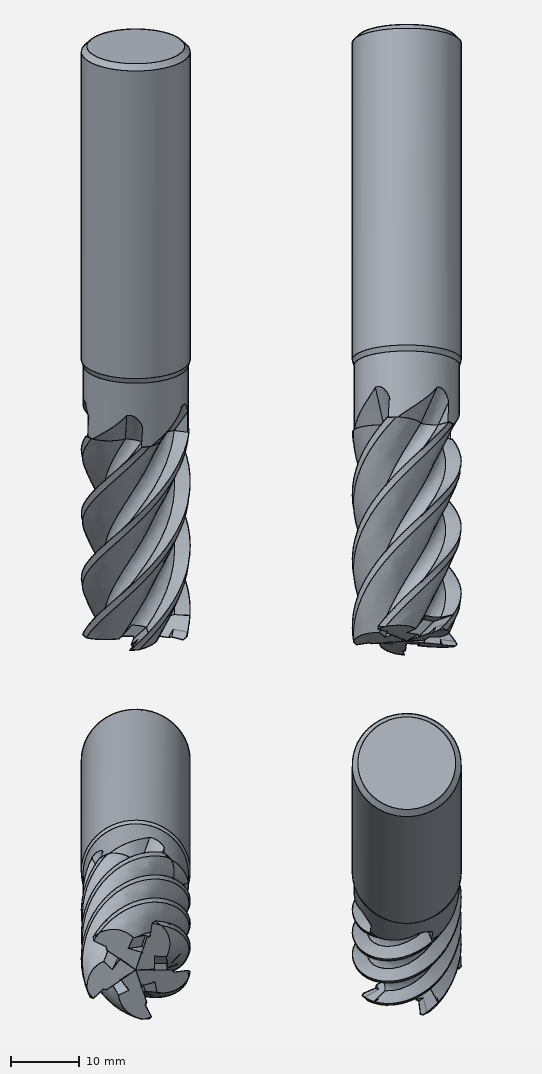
import cadquery as cq
import math

TOTAL_LENGTH = 92
DIAMETER = 16.0
RADIUS = DIAMETER / 2
CUT_LENGTH = 32.0
CLEARANCE = 1.8

SHANK_CHAMFER = 0.8
NECK_RADIUS = 7.7
NECK_TOP = 42.0
NECK_TAPER_LENGTH = 0.8

FLUTE_COUNT = 5
FLUTE_PITCH = 360 / FLUTE_COUNT
HELIX_ANGLE = 45
LEAD = math.pi * DIAMETER / math.tan(math.radians(HELIX_ANGLE))
TWIST = 360 * CUT_LENGTH / LEAD

TOP_EDGE_ANGLE = -96
BOTTOM_EDGE_ANGLE = TOP_EDGE_ANGLE - TWIST

HEEL_RADIUS, HEEL_ANGLE = 7.8, 9.5
BACK_RADIUS, BACK_ANGLE = 6.7, 26
ROOT_RADIUS, ROOT_ANGLE = 4.7, 47
CORE_RADIUS, CORE_ANGLE = 4.7, 62
HOOK_RADIUS, HOOK_ANGLE = 5.7, 75

RUNOUT_HEIGHT = 7.4
RUNOUT_SLOPE = 0.65
RUNOUT_ANGLE = 70

CORNER_CHAMFER = 0.4
GASH_HEIGHT = 2.85
GASH_REACH = 2.3
GASH_SPREAD = 80
GASH_INNER_RADIUS = 2.8
END_RELIEF_HEIGHT = 0.8
END_RELIEF_REACH = 5.5


def polar(radius, angle):
    """Point at a radius and an angle in degrees from +X."""
    turn = math.radians(angle)
    return (radius * math.cos(turn), radius * math.sin(turn))


def add_flute_outline(outline, edge):
    """Extend an outline from the heel at one cutting edge, through the flute, to the next cutting edge."""
    return (
        outline.lineTo(*polar(HEEL_RADIUS, edge + HEEL_ANGLE))
        .threePointArc(polar(BACK_RADIUS, edge + BACK_ANGLE), polar(ROOT_RADIUS, edge + ROOT_ANGLE))
        .threePointArc(polar(CORE_RADIUS, edge + CORE_ANGLE), polar(HOOK_RADIUS, edge + HOOK_ANGLE))
        .lineTo(*polar(RADIUS, edge + FLUTE_PITCH))
    )


def make_runout(edge):
    """Flute section between two cutting edges, carried upward and outward until it leaves the neck."""
    outer_radius = RADIUS + CLEARANCE
    outline = cq.Workplane("XY", origin=(0, 0, CUT_LENGTH)).moveTo(*polar(outer_radius, edge + HEEL_ANGLE))
    outline = add_flute_outline(outline, edge)
    outline = outline.lineTo(*polar(outer_radius, edge + FLUTE_PITCH)).close()
    shift_x, shift_y = polar(RUNOUT_HEIGHT * RUNOUT_SLOPE, edge + RUNOUT_ANGLE)
    path = cq.Vector(shift_x, shift_y, RUNOUT_HEIGHT)
    return cq.Workplane(cq.Solid.extrudeLinear(outline.val(), [], path))


def make_shank():
    """Chamfered shank and neck, revolved, with the flutes running out in the neck."""
    shank = (
        cq.Workplane("YZ")
        .moveTo(0, CUT_LENGTH)
        .lineTo(-NECK_RADIUS, CUT_LENGTH)
        .lineTo(-NECK_RADIUS, NECK_TOP)
        .lineTo(-RADIUS, NECK_TOP + NECK_TAPER_LENGTH)
        .lineTo(-RADIUS, TOTAL_LENGTH - SHANK_CHAMFER)
        .lineTo(-(RADIUS - SHANK_CHAMFER), TOTAL_LENGTH)
        .lineTo(0, TOTAL_LENGTH)
        .close()
        .revolve(360, (0, 0, 0), (0, 1, 0))
    )
    for flute in range(FLUTE_COUNT):
        shank = shank.cut(make_runout(TOP_EDGE_ANGLE + flute * FLUTE_PITCH))
    return shank


def make_fluted_bar():
    """Tooth section twisted along the helix, with the bottom corners chamfered."""
    section = cq.Workplane("XY").moveTo(*polar(RADIUS, BOTTOM_EDGE_ANGLE))
    for flute in range(FLUTE_COUNT):
        section = add_flute_outline(section, BOTTOM_EDGE_ANGLE + flute * FLUTE_PITCH)
    bar = section.close().twistExtrude(CUT_LENGTH, TWIST)
    envelope = (
        cq.Workplane("XY")
        .circle(RADIUS + CLEARANCE)
        .extrude(CUT_LENGTH)
        .faces("<Z")
        .chamfer(CORNER_CHAMFER + CLEARANCE)
    )
    return bar.intersect(envelope)


def make_end_cut(points, inner_radius, first_angle, last_angle):
    """Prism running outward along +X, kept only between two angles; points are (Y, Z)."""
    length = RADIUS + CLEARANCE - inner_radius
    prism = cq.Workplane("YZ", origin=(inner_radius, 0, 0)).polyline(points).close().extrude(length)
    far_radius = TOTAL_LENGTH
    sector = (
        cq.Workplane("XY", origin=(0, 0, -CLEARANCE))
        .polyline([(0, 0), polar(far_radius, first_angle), polar(far_radius, last_angle)])
        .close()
        .extrude(GASH_HEIGHT + 2 * CLEARANCE)
    )
    return prism.intersect(sector)


def make_cutter():
    """Fluted bar with a gash in front of each end tooth and a sloped relief behind its edge."""
    gash_points = [
        (0, 0),
        (GASH_HEIGHT, GASH_HEIGHT),
        (0, GASH_HEIGHT),
        (-GASH_REACH, 0),
        (-GASH_REACH, -CLEARANCE),
        (0, -CLEARANCE),
    ]
    relief_points = [
        (0, 0),
        (END_RELIEF_REACH, END_RELIEF_HEIGHT),
        (END_RELIEF_REACH, -CLEARANCE),
        (0, -CLEARANCE),
    ]
    gash = make_end_cut(gash_points, GASH_INNER_RADIUS, -GASH_SPREAD, GASH_SPREAD)
    relief = make_end_cut(relief_points, 0, 0, FLUTE_PITCH)
    cutter = make_fluted_bar()
    for flute in range(FLUTE_COUNT):
        edge = BOTTOM_EDGE_ANGLE + flute * FLUTE_PITCH
        for end_cut in (gash, relief):
            cutter = cutter.cut(end_cut.rotate((0, 0, 0), (0, 0, 1), edge))
    return cutter


shank = make_shank()
cutter = make_cutter()
result = cq.Compound.makeCompound([shank.solids().val(), cutter.solids().val()])